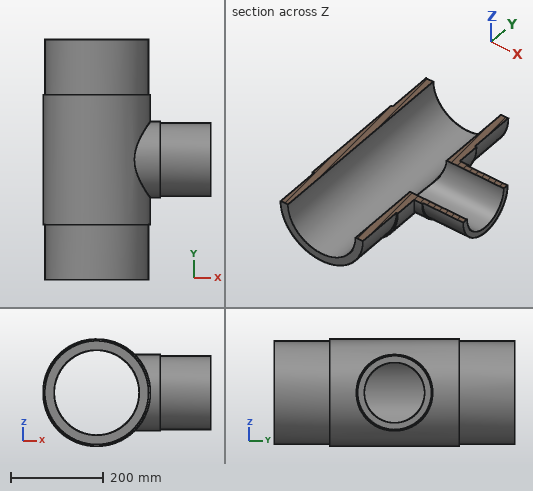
import cadquery as cq

run_length = 522.0
run_diameter = 225.0
run_bore = 184.0
run_spigot_length = 120.0
body_diameter = 233.2
body_length = run_length - 2 * run_spigot_length

branch_diameter = 160.0
branch_bore = 130.8
branch_spigot_length = 110.0
collar_diameter = 165.84
overall_width = 364.6
branch_reach = overall_width - body_diameter / 2
collar_reach = branch_reach - branch_spigot_length


def run_cylinder(diameter, length):
    """Cylinder along Y, centred on the origin."""
    return cq.Workplane("XZ").circle(diameter / 2).extrude(length / 2, both=True)


def branch_cylinder(diameter, reach):
    """Cylinder along +X, from the run axis out to the given reach."""
    return cq.Workplane("YZ").circle(diameter / 2).extrude(reach)


outside = (
    run_cylinder(run_diameter, run_length)
    .union(run_cylinder(body_diameter, body_length))
    .union(branch_cylinder(collar_diameter, collar_reach))
    .union(branch_cylinder(branch_diameter, branch_reach))
)

result = (
    outside
    .cut(run_cylinder(run_bore, run_length))
    .cut(branch_cylinder(branch_bore, branch_reach))
)